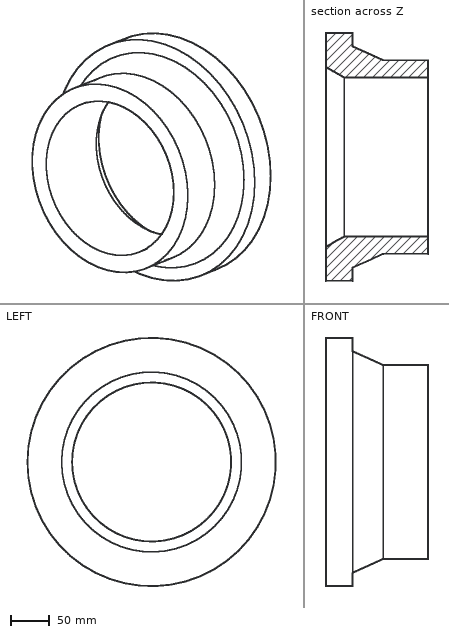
import cadquery as cq

flange_diameter = 320.0
hub_diameter = 285.5
neck_diameter = 250.0
bore_diameter = 204.5
bore_mouth_diameter = 231.7

total_length = 132.0
flange_thickness = 34.5
hub_length = 39.5
bore_taper_length = 24.0

flange_radius = flange_diameter / 2
hub_radius = hub_diameter / 2
neck_radius = neck_diameter / 2
bore_radius = bore_diameter / 2
bore_mouth_radius = bore_mouth_diameter / 2
neck_start = flange_thickness + hub_length

half_section = (
    cq.Workplane("XY")
    .moveTo(0, bore_mouth_radius)
    .lineTo(0, flange_radius)
    .lineTo(flange_thickness, flange_radius)
    .lineTo(flange_thickness, hub_radius)
    .lineTo(neck_start, neck_radius)
    .lineTo(total_length, neck_radius)
    .lineTo(total_length, bore_radius)
    .lineTo(bore_taper_length, bore_radius)
    .close()
)

result = half_section.revolve(360, (0, 0, 0), (1, 0, 0))